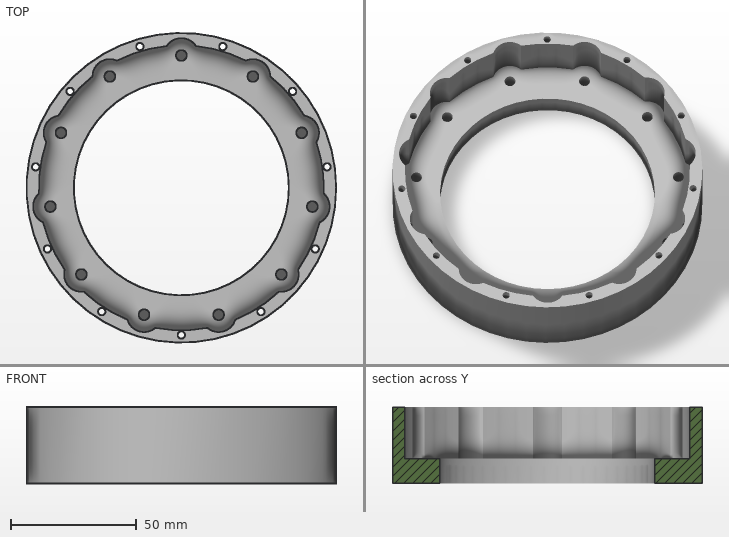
import cadquery as cq

outer_diameter = 123.0
height = 30.5
bore_diameter = 85.2

floor_thickness = 10.0
cavity_diameter = 113.2
lobe_radius = 6.9

hole_count = 11
bolt_circle_radius = 52.5
bolt_hole_diameter = 4.3
bolt_hole_depth = 8.0
rim_circle_radius = 58.4
rim_hole_diameter = 2.8

bolt_start_angle = 90.0
rim_start_angle = bolt_start_angle + 180.0


def cylinders(circle_radius, start_angle, diameter, bottom, length):
    """Evenly spaced upright cylinders standing at the given bottom height."""
    return (
        cq.Workplane("XY", origin=(0, 0, bottom))
        .polarArray(circle_radius, start_angle, 360, hole_count)
        .circle(diameter / 2)
        .extrude(length)
    )


def ring_body():
    return (
        cq.Workplane("XY")
        .circle(outer_diameter / 2)
        .circle(bore_diameter / 2)
        .extrude(height)
    )


def scalloped_cavity():
    """Round pocket widened by a lobe concentric with each bolt hole."""
    depth = height - floor_thickness
    pocket = cq.Workplane("XY", origin=(0, 0, floor_thickness)).circle(cavity_diameter / 2).extrude(depth)
    lobes = cylinders(bolt_circle_radius, bolt_start_angle, 2 * lobe_radius, floor_thickness, depth)
    return pocket.union(lobes)


bolt_holes = cylinders(
    bolt_circle_radius,
    bolt_start_angle,
    bolt_hole_diameter,
    floor_thickness - bolt_hole_depth,
    bolt_hole_depth,
)
rim_holes = cylinders(rim_circle_radius, rim_start_angle, rim_hole_diameter, 0, height)

result = ring_body().cut(scalloped_cavity()).cut(bolt_holes).cut(rim_holes)